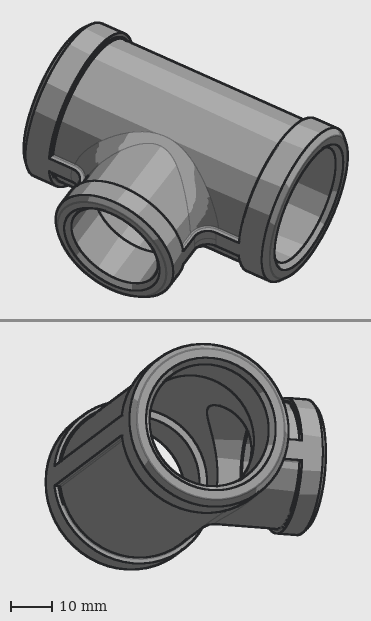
import cadquery as cq

run_length = 69
run_half = run_length / 2
overall_depth = 55.75

run_collar_dia = 40.5
run_barrel_dia = 37.75
run_collar_width = 7.95
run_end_chamfer = 1.45

branch_reach = overall_depth - run_collar_dia / 2
branch_collar_dia = 33.0
branch_barrel_dia = 30.7
branch_collar_width = 6.4
branch_end_chamfer = 1.25

run_bore_dia = 30.3
run_cavity_dia = 34.2
run_bore_depth = 13.0
run_mouth_dia = 33.0
branch_bore_dia = 24.15
branch_cavity_dia = 26.7
branch_bore_depth = 12.55
branch_mouth_dia = 26.7

rib_width = 5.0
rib_elbow_radius = 3.8
barrel_elbow_radius = 5.05
root_fillet = 0.35
touch_tolerance = 0.01


def run_cylinder(diameter, length):
    return cq.Workplane("YZ").circle(diameter / 2).extrude(length / 2, both=True)


def branch_cylinder(diameter, reach):
    return cq.Workplane("XZ").circle(diameter / 2).extrude(reach)


def solid_tee(run_dia, branch_dia, elbow_radius):
    """Solid tee with the crossing curve of its two cylinders rounded."""
    tee = run_cylinder(run_dia, run_length).union(branch_cylinder(branch_dia, branch_reach))
    crossing = [edge for edge in tee.edges().vals() if edge.geomType() not in ("CIRCLE", "LINE")]
    return tee.newObject(crossing).fillet(elbow_radius)


def collar_and_rib_zones():
    """Space in which the body keeps its full outer size."""
    zones = cq.Workplane().box(run_length, 2 * branch_reach, rib_width)
    run_zone = cq.Workplane().box(run_collar_width, run_collar_dia, run_collar_dia)
    run_zone_x = run_half - run_collar_width / 2
    for side in (-1, 1):
        zones = zones.union(run_zone.translate((side * run_zone_x, 0, 0)))
    branch_zone = cq.Workplane().box(branch_collar_dia, branch_collar_width, branch_collar_dia)
    branch_zone_y = branch_collar_width / 2 - branch_reach
    return zones.union(branch_zone.translate((0, branch_zone_y, 0)))


def skin(solid):
    return cq.Compound.makeCompound(solid.faces().vals())


def root_edges(body, core, zones):
    """Edges where the collars and ribs rise from the barrels."""
    skins = (skin(core), skin(zones))
    edges = []
    for edge in body.edges().vals():
        middle = cq.Vertex.makeVertex(*edge.positionAt(0.5).toTuple())
        if all(middle.distance(surface) < touch_tolerance for surface in skins):
            edges.append(edge)
    return edges


def outer_body():
    """Barrels with raised collars and ribs, without bores."""
    envelope = solid_tee(run_collar_dia, branch_collar_dia, rib_elbow_radius)
    envelope = envelope.faces("<X or >X").chamfer(run_end_chamfer)
    envelope = envelope.faces("<Y").chamfer(branch_end_chamfer)
    zones = collar_and_rib_zones()

    core = solid_tee(run_barrel_dia, branch_barrel_dia, barrel_elbow_radius)
    barrel_limits = cq.Workplane().box(
        run_length - run_collar_width, 2 * branch_reach - branch_collar_width, run_collar_dia
    )
    body = core.intersect(barrel_limits).union(envelope.intersect(zones))
    return body.newObject(root_edges(body, core, zones)).fillet(root_fillet)


def mouth(origin, x_direction, inward, bore_dia, mouth_dia):
    """45 degree lead-in that narrows from an end face down to the bore."""
    depth = (mouth_dia - bore_dia) / 2
    plane = cq.Plane(origin, x_direction, inward)
    return cq.Workplane(plane).circle(mouth_dia / 2).workplane(offset=depth).circle(bore_dia / 2).loft()


def inside():
    """Bores, middle cavity and lead-ins as one cutting solid."""
    space = run_cylinder(run_bore_dia, run_length)
    space = space.union(branch_cylinder(branch_bore_dia, branch_reach))
    space = space.union(run_cylinder(run_cavity_dia, run_length - 2 * run_bore_depth))
    space = space.union(branch_cylinder(branch_cavity_dia, branch_reach - branch_bore_depth))
    for side in (-1, 1):
        space = space.union(
            mouth((side * run_half, 0, 0), (0, 1, 0), (-side, 0, 0), run_bore_dia, run_mouth_dia)
        )
    return space.union(
        mouth((0, -branch_reach, 0), (1, 0, 0), (0, 1, 0), branch_bore_dia, branch_mouth_dia)
    )


result = outer_body().cut(inside()).solids()